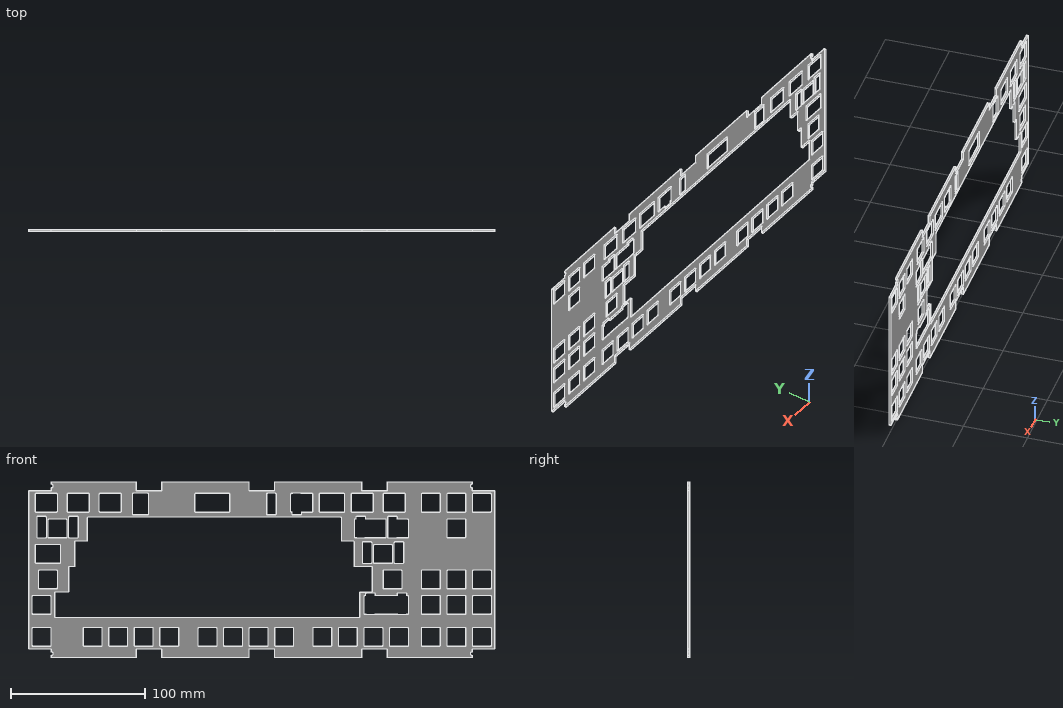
import cadquery as cq

LENGTH = 347.5
HEIGHT = 131.0
THICKNESS = 1.5
CORNER_RADIUS = 0.5

SHOULDER_Z = 59.0
SHOULDER_X = 157.0
GAP_SPACING = 84.0
GAP_WIDTH = 18.8
NOTCH_RADIUS = 1.5
NOTCH_Z = 62.5

COLUMN_SPAN = 328.5
LAST_COLUMN = 17.25
PITCH = COLUMN_SPAN / LAST_COLUMN
SWITCH_SIZE = 14.0
STABILIZER_WIDTH = 7.0
STABILIZER_HEIGHT = 16.0
STABILIZER_OFFSET = 0.87
SHORT_KEY_REACH = 11.8
BAR_6_REACH = 50.0
BAR_7_REACH = 57.0

EVEN_ROW_STEPS = 4
LAST_ROW_STEP = 1.25
ROW_SPAN = (EVEN_ROW_STEPS + LAST_ROW_STEP) * PITCH
ROW_1 = ROW_SPAN / 2
ROW_2 = ROW_1 - PITCH
ROW_3 = ROW_2 - PITCH
ROW_4 = ROW_3 - PITCH
ROW_5 = ROW_4 - PITCH
ROW_6 = -ROW_SPAN / 2

NUMPAD = [(column, column) for column in (15.25, 16.25, LAST_COLUMN)]
BOTTOM_KEYS = [(start + i, start + i) for start in (2, 6.5, 11) for i in range(4)]
SWITCH_ROWS = [
    (
        ROW_1,
        [(0.125, 0.25), (1.375, 1.5), (2.625, 2.75), (6.375, 7), (10.125, 10.25)]
        + [(11.25, 11.5), (12.5, 12.625), (13.75, 13.875)]
        + NUMPAD,
    ),
    (ROW_2, [(0.625, 0.625), (12.625, 13.125), (14, 14), (16.25, 16.25)]),
    (ROW_3, [(0.125, 0.375), (13.375, 13.375)]),
    (ROW_4, [(0.25, 0.25), (13.75, 13.75)] + NUMPAD),
    (ROW_5, [(0, 0), (13, 14)] + NUMPAD),
    (ROW_6, [(0, 0)] + BOTTOM_KEYS + NUMPAD),
]

STABILIZED_KEYS = [
    (ROW_1, 6.375, BAR_6_REACH, -1),
    (ROW_1, 7, BAR_7_REACH, -1),
    (ROW_2, 0.625, SHORT_KEY_REACH, 1),
    (ROW_2, 13.125, SHORT_KEY_REACH, 1),
    (ROW_3, 13.375, SHORT_KEY_REACH, 1),
    (ROW_5, 13.5, SHORT_KEY_REACH, 1),
]

OPENING_TOP = 39.3
OPENING_BOTTOM = -35.5
BELOW_ROW_2 = ROW_2 - PITCH / 2
BELOW_ROW_3 = ROW_3 - PITCH / 2
BELOW_ROW_4 = ROW_4 - PITCH / 2
OPENING_BANDS = [
    (-130.0, 59.5, OPENING_TOP, BELOW_ROW_2),
    (-139.5, 69.0, BELOW_ROW_2, BELOW_ROW_3),
    (-144.0, 82.5, BELOW_ROW_3, BELOW_ROW_4),
    (-154.5, 73.0, BELOW_ROW_4, OPENING_BOTTOM),
]


def column_x(column):
    """X position of a switch column; the grid is centred on the plate."""
    return (column - LAST_COLUMN / 2) * PITCH


def block(left, right, top, bottom):
    """A block through the plate thickness with the given limits in X and Z."""
    return (
        cq.Workplane("XZ")
        .center((left + right) / 2, (top + bottom) / 2)
        .rect(right - left, top - bottom)
        .extrude(THICKNESS / 2, both=True)
    )


def make_plate():
    plate = block(-LENGTH / 2, LENGTH / 2, SHOULDER_Z, -SHOULDER_Z)
    plate = plate.edges("|Y").fillet(CORNER_RADIUS)
    plate = plate.union(block(-SHOULDER_X, SHOULDER_X, HEIGHT / 2, -HEIGHT / 2))
    for middle in (-GAP_SPACING, 0, GAP_SPACING):
        left = middle - GAP_WIDTH / 2
        right = middle + GAP_WIDTH / 2
        plate = plate.cut(block(left, right, HEIGHT / 2, SHOULDER_Z))
        plate = plate.cut(block(left, right, -SHOULDER_Z, -HEIGHT / 2))
    notches = (
        cq.Workplane("XZ")
        .rect(2 * SHOULDER_X, 2 * NOTCH_Z, forConstruction=True)
        .vertices()
        .circle(NOTCH_RADIUS)
        .extrude(THICKNESS / 2, both=True)
    )
    return plate.cut(notches)


def make_opening():
    opening = block(*OPENING_BANDS[0])
    for band in OPENING_BANDS[1:]:
        opening = opening.union(block(*band))
    return opening.edges("|Y").fillet(CORNER_RADIUS)


def switch_windows():
    windows = []
    for row_z, spans in SWITCH_ROWS:
        for first, last in spans:
            left = column_x(first) - SWITCH_SIZE / 2
            right = column_x(last) + SWITCH_SIZE / 2
            windows.append(block(left, right, row_z + SWITCH_SIZE / 2, row_z - SWITCH_SIZE / 2))
    return windows


def stabilizer_windows():
    windows = []
    for row_z, column, reach, direction in STABILIZED_KEYS:
        top = row_z + direction * STABILIZER_OFFSET + STABILIZER_HEIGHT / 2
        for side in (-1, 1):
            middle = column_x(column) + side * reach
            left = middle - STABILIZER_WIDTH / 2
            windows.append(block(left, left + STABILIZER_WIDTH, top, top - STABILIZER_HEIGHT))
    return windows


result = make_plate().cut(make_opening())
for window in switch_windows() + stabilizer_windows():
    result = result.cut(window.edges("|Y").fillet(CORNER_RADIUS))